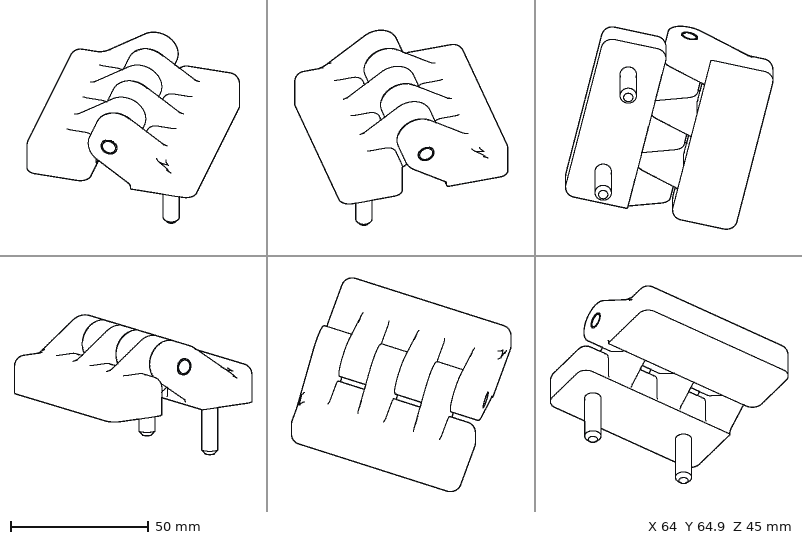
import cadquery as cq
import math

HINGE_LENGTH = 64.9
HINGE_WIDTH = 64.0
HALF_LENGTH = HINGE_LENGTH / 2
HALF_WIDTH = HINGE_WIDTH / 2

BARREL_RADIUS = 8.0
PIVOT_HEIGHT = 17.0

LEAF_HEIGHT = 14.0
LEAF_ROUND = 4.0
LEAF_WIDTH = HALF_WIDTH - BARREL_RADIUS
ROUND_START_Y = LEAF_ROUND - HALF_LENGTH
ROUND_START_Z = LEAF_HEIGHT - LEAF_ROUND

KNUCKLE_LENGTH = 10.45
KNUCKLE_GAP = 0.5
KNUCKLE_ROUND = 0.5
TOP_BLEND_RADIUS = 5.0
FOOT_BLEND_RADIUS = 2.0

FAN_TIP_X = 18.55
FAN_RIM = [(20.9, 29), (22.2, 51), (23.35, 90)]

PIN_DIAMETER = 6.0
PIN_CHAMFER = 0.5

STUD_DIAMETER = 6.0
STUD_LENGTH = 20.0
STUD_OFFSET = 20.0
STUD_TIP_DIAMETER = 3.4
STUD_TIP_LENGTH = 1.55

KNUCKLE_PITCH = KNUCKLE_LENGTH + KNUCKLE_GAP
OUTER_KNUCKLE_END = KNUCKLE_PITCH + KNUCKLE_LENGTH
INNER_KNUCKLES = [(-KNUCKLE_LENGTH, 0.0), (KNUCKLE_PITCH, OUTER_KNUCKLE_END)]

ARM_SLOPE = math.radians(35)
SIN, COS, TAN = math.sin(ARM_SLOPE), math.cos(ARM_SLOPE), math.tan(ARM_SLOPE)
ARM_RISE = BARREL_RADIUS / COS


def arm_top_x(z):
    """X at which the upper side of the arm reaches height z."""
    return (PIVOT_HEIGHT + ARM_RISE - z) / TAN


def arm_top_z(x):
    """Height of the upper side of the arm at x."""
    return PIVOT_HEIGHT + ARM_RISE - x * TAN


def leaf_round_point(x, turn):
    """Point at x on the rounded top edge of the -Y leaf end, at an angle of turn degrees from vertical."""
    angle = math.radians(turn)
    return cq.Vector(
        x,
        ROUND_START_Y - LEAF_ROUND * math.sin(angle),
        ROUND_START_Z + LEAF_ROUND * math.cos(angle),
    )


def make_body():
    """Plain leaf block with rounded upright and top edges."""
    return (
        cq.Workplane("XY")
        .box(LEAF_WIDTH, HINGE_LENGTH, LEAF_HEIGHT, centered=(False, True, False))
        .translate((BARREL_RADIUS, 0, 0))
        .edges("|Z or >Z")
        .fillet(LEAF_ROUND)
    )


def start_knuckle(start):
    """Open outline at Y = start, from the top of the barrel round to the foot of the leaf's inner face."""
    upper_tangent = (BARREL_RADIUS * SIN, PIVOT_HEIGHT + BARREL_RADIUS * COS)
    lower_tangent = (-BARREL_RADIUS * SIN, PIVOT_HEIGHT - BARREL_RADIUS * COS)
    corner_z = PIVOT_HEIGHT - ARM_RISE - BARREL_RADIUS * TAN
    setback = FOOT_BLEND_RADIUS * math.tan((math.pi / 2 - ARM_SLOPE) / 2)
    return (
        cq.Workplane("XZ", origin=(0, start, 0))
        .moveTo(*upper_tangent)
        .threePointArc((-BARREL_RADIUS, PIVOT_HEIGHT), lower_tangent)
        .lineTo(BARREL_RADIUS - setback * COS, corner_z + setback * SIN)
        .radiusArc((BARREL_RADIUS, corner_z - setback), FOOT_BLEND_RADIUS)
        .lineTo(BARREL_RADIUS, 0)
    )


def make_blended_knuckle(start, end, rounded_sides):
    """Knuckle whose arm runs into the flat top of the leaf with a concave blend."""
    setback = TOP_BLEND_RADIUS * math.tan(ARM_SLOPE / 2)
    corner_x = arm_top_x(LEAF_HEIGHT)
    knuckle = (
        start_knuckle(start)
        .lineTo(corner_x + setback, 0)
        .lineTo(corner_x + setback, LEAF_HEIGHT)
        .radiusArc((corner_x - setback * COS, LEAF_HEIGHT + setback * SIN), TOP_BLEND_RADIUS)
        .close()
        .extrude(start - end)
    )
    return knuckle.faces(rounded_sides).edges("not(<Z or >X)").fillet(KNUCKLE_ROUND)


def make_end_knuckle_tip():
    """Outer stretch of the end knuckle, beside the rounded top edge of the leaf end."""
    tip = (
        start_knuckle(-HALF_LENGTH)
        .lineTo(arm_top_x(ROUND_START_Z), 0)
        .lineTo(arm_top_x(ROUND_START_Z), ROUND_START_Z)
        .close()
        .extrude(-LEAF_ROUND)
    )
    return tip.faces("<Y").edges("not(<Z or >X)").fillet(KNUCKLE_ROUND)


def make_tip_blend():
    """Concave blend where the arm crosses the rounded edge, trimmed by flat facets at the leaf end."""
    overrun = 13.0
    low_z = 3.25
    high_z = LEAF_HEIGHT + LEAF_ROUND
    block_width = 64.9
    edge_block = (
        cq.Workplane("XY", origin=(0, -HALF_LENGTH, 0))
        .box(block_width, HALF_LENGTH, LEAF_HEIGHT, centered=False)
        .edges("<Y and >Z")
        .fillet(LEAF_ROUND)
    )
    arm = (
        cq.Workplane("XZ", origin=(0, -OUTER_KNUCKLE_END, 0))
        .polyline([(0, low_z), (arm_top_x(low_z), low_z), (arm_top_x(high_z), high_z), (0, high_z)])
        .close()
        .extrude(HALF_LENGTH + overrun - OUTER_KNUCKLE_END)
    )
    crossing = edge_block.union(arm).edges(
        cq.selectors.BoxSelector(
            (arm_top_x(LEAF_HEIGHT), -HALF_LENGTH, ROUND_START_Z),
            (arm_top_x(ROUND_START_Z), ROUND_START_Y, LEAF_HEIGHT),
        )
    )
    blended = crossing.fillet(TOP_BLEND_RADIUS)

    on_arm = cq.Vector(FAN_TIP_X, KNUCKLE_ROUND - HALF_LENGTH, arm_top_z(FAN_TIP_X))
    on_leaf = [leaf_round_point(x, turn) for x, turn in FAN_RIM]
    for near, far in zip(on_leaf, on_leaf[1:]):
        normal = (far - on_arm).cross(near - on_arm)
        below_facet = (
            cq.Workplane(cq.Plane(on_arm, far - on_arm, normal))
            .rect(block_width, block_width)
            .extrude(-block_width)
        )
        blended = blended.intersect(below_facet)

    tip_space = cq.Workplane("XY", origin=(BARREL_RADIUS, -HALF_LENGTH, low_z)).box(
        LEAF_WIDTH - LEAF_ROUND, LEAF_ROUND, high_z - low_z, centered=False
    )
    return blended.intersect(tip_space)


def make_leaf():
    """The +X leaf with its three knuckles."""
    leaf = make_body()
    for start, end in INNER_KNUCKLES:
        leaf = leaf.union(make_blended_knuckle(start, end, "|Y"))
    leaf = leaf.union(make_blended_knuckle(ROUND_START_Y, -OUTER_KNUCKLE_END, ">Y"))
    return leaf.union(make_end_knuckle_tip()).union(make_tip_blend())


def make_pin_blank():
    """Plain cylinder along the pivot axis, as long as the hinge."""
    return (
        cq.Workplane("XZ", origin=(0, HALF_LENGTH, PIVOT_HEIGHT))
        .circle(PIN_DIAMETER / 2)
        .extrude(HINGE_LENGTH)
    )


def make_studs():
    """Two mounting studs with tapered tips below the +X leaf."""
    return (
        cq.Workplane("XY")
        .pushPoints([(STUD_OFFSET, -STUD_OFFSET), (STUD_OFFSET, STUD_OFFSET)])
        .circle(STUD_DIAMETER / 2)
        .extrude(-STUD_LENGTH)
        .faces("<Z")
        .edges()
        .chamfer(STUD_TIP_LENGTH, (STUD_DIAMETER - STUD_TIP_DIAMETER) / 2)
    )


right_leaf = make_leaf()
left_leaf = right_leaf.rotate((0, 0, 0), (0, 0, 1), 180)
bore = make_pin_blank()
pin = make_pin_blank().faces("|Y").edges().chamfer(PIN_CHAMFER)
result = right_leaf.union(left_leaf).cut(bore).union(pin).union(make_studs())